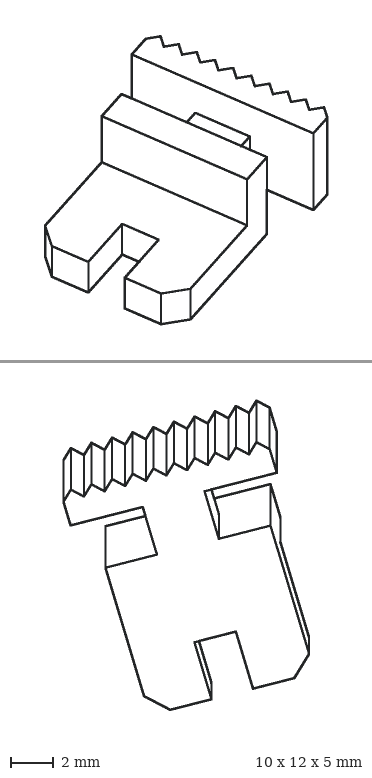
import cadquery as cq

length = 12.0
plate_width = 10.0
height = 5.0

body_width = 8.0
foot_thickness = 2.0
corner_chamfer = 1.0
slot_width = 2.0
slot_depth = 3.0
wall_front = 6.0
wall_back = 7.75

neck_width = 3.0
neck_height = 3.0

plate_front = 10.25
tooth_count = 10
tooth_height = 0.5
tooth_pitch = plate_width / tooth_count
tooth_root = length - tooth_height


def block(width, front, back, block_height):
    """Box centred on X, standing on Z = 0, between two Y positions."""
    return (
        cq.Workplane("XY")
        .box(width, back - front, block_height, centered=(True, False, False))
        .translate((0, front, 0))
    )


def make_foot():
    foot = block(body_width, 0, wall_back, foot_thickness)
    foot = foot.faces("<Y").edges("|Z").chamfer(corner_chamfer)
    return foot.cut(block(slot_width, 0, slot_depth, foot_thickness))


def make_toothed_plate():
    half_width = plate_width / 2
    outline = [(half_width, plate_front), (-half_width, plate_front), (-half_width, tooth_root)]
    for tooth in range(tooth_count):
        tooth_start = -half_width + tooth * tooth_pitch
        outline.append((tooth_start + tooth_pitch / 2, length))
        outline.append((tooth_start + tooth_pitch, tooth_root))
    return cq.Workplane("XY").polyline(outline).close().extrude(height)


wall = block(body_width, wall_front, wall_back, height)
neck = block(neck_width, wall_back, plate_front, neck_height)

result = make_foot().union(wall).union(neck).union(make_toothed_plate())